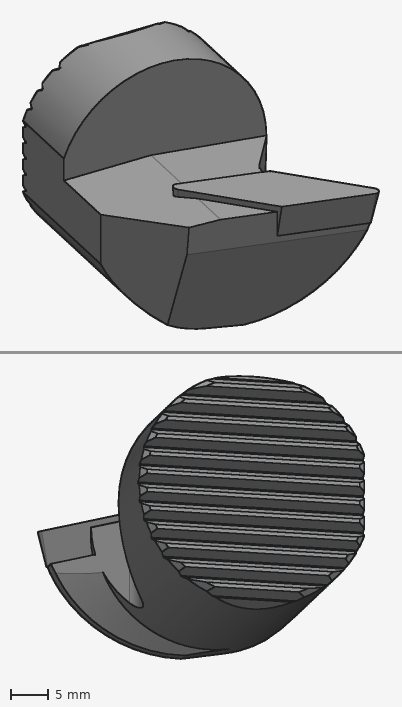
import cadquery as cq
import math

bar_radius = 16.0
flat_y = -15.0
disc_length = 12.0
rim_chamfer = 0.8

groove_span = 30.0
tooth_depth = 1.5
groove_floor = 0.2
groove_half_angle = 30
grooves_per_side = 5
tooth_pitch = groove_span / (2 * grooves_per_side + 2)

floor_z = 2.15
tilt_line_y = -1.65
tilt_angle = 7
corner_cut_x = 22.0

reach = 55.5
overshoot = 0.37

insert_inscribed_diameter = 9.55
insert_point_angle = 35
insert_thickness = 4.77
insert_nose_radius = 0.8
insert_relief = 7
insert_proud = 0.92
insert_x = 27.12
insert_y = 8.9
front_edge_angle = 3
back_edge_angle = front_edge_angle + insert_point_angle

notch_apex = (21.3, 9.3)
notch_radius = 3.1

blade_radius = 18.72
blade_center_y = 3.05
blade_center_z = 1.95
blade_top_angle = -5
blade_middle_angle = -45
blade_back_axis_z = 0.92
blade_back_x = 25.15
blade_back_angle = 41.5

end_corner_x = 30.7
end_corner_y = -6.2
end_bend_depth = 4.8
end_upper_relief = 3
end_lower_relief = 9.2


def tilt(body):
    """Lean a body down towards +Y about the line where the floor starts to slope."""
    start = (0, tilt_line_y, floor_z)
    end = (1, tilt_line_y, floor_z)
    return body.rotate(start, end, -tilt_angle)


def make_bar(length):
    bar = cq.Workplane("YZ").circle(bar_radius).extrude(length)
    beyond_flat = cq.Workplane("XY").box(3 * reach, reach, reach).translate((0, flat_y - reach / 2, 0))
    return bar.cut(beyond_flat).faces("<X").chamfer(rim_chamfer)


def make_teeth_cutter():
    slope = math.tan(math.radians(groove_half_angle))
    half_floor = groove_floor / 2
    half_mouth = half_floor + tooth_depth * slope
    section = cq.Workplane("XZ", origin=(0, reach / 2, 0))
    cutter = cq.Workplane("XY")
    for index in range(-grooves_per_side, grooves_per_side + 1):
        z = index * tooth_pitch
        groove = [
            (0, z - half_mouth),
            (tooth_depth, z - half_floor),
            (tooth_depth, z + half_floor),
            (0, z + half_mouth),
        ]
        cutter = cutter.add(section.polyline(groove).close().extrude(reach))
    last_z = (grooves_per_side + 1) * tooth_pitch
    rim_z = bar_radius + overshoot
    rim_x = tooth_depth + (rim_z - last_z - half_floor) / slope
    for side in (-1, 1):
        fall = [
            (0, side * (last_z - half_mouth)),
            (tooth_depth, side * (last_z - half_floor)),
            (tooth_depth, side * (last_z + half_floor)),
            (rim_x, side * rim_z),
            (0, side * rim_z),
        ]
        cutter = cutter.add(section.polyline(fall).close().extrude(reach))
    return cutter.combine()


def make_blade():
    """Crescent below the bar: a large arc, run out by a tangent onto the bar."""
    bottom_z = blade_center_z - blade_radius
    bottom_angle = math.atan2(blade_center_y, -bottom_z)
    bottom_distance = math.hypot(blade_center_y, bottom_z)
    tangent_angle = math.acos(bar_radius / bottom_distance) - bottom_angle
    tangent = (-bar_radius * math.sin(tangent_angle), -bar_radius * math.cos(tangent_angle))

    def arc_point(angle):
        turn = math.radians(angle)
        return (blade_center_y + blade_radius * math.cos(turn), blade_center_z + blade_radius * math.sin(turn))

    return (
        cq.Workplane("YZ", origin=(disc_length, 0, 0))
        .moveTo(*tangent)
        .lineTo(blade_center_y, bottom_z)
        .threePointArc(arc_point(blade_middle_angle), arc_point(blade_top_angle))
        .lineTo(0, 0)
        .close()
        .extrude(reach)
    )


def make_above_seat():
    """Space above the plane of the insert's underside."""
    seat_z = floor_z + insert_proud - insert_thickness
    block = cq.Workplane("XY").box(reach, reach, reach).translate((reach / 2, reach / 2, seat_z + reach / 2))
    return tilt(block)


def make_above_floor():
    flat = cq.Workplane("XY").box(reach, reach, reach)
    flat = flat.translate((disc_length + reach / 2, 0, floor_z + reach / 2))
    sloping = tilt(flat.translate((0, tilt_line_y + reach / 2, 0)))
    behind = cq.Workplane("XY").box(reach, 2 * reach, 2 * reach).translate((disc_length - reach / 2, 0, 0))
    return flat.union(sloping.cut(behind))


def make_notch():
    """V-shaped clearance between disc and insert, with a rounded apex."""
    apex_x, apex_y = notch_apex
    top_y = 2 * bar_radius
    wall_top_x = apex_x + (top_y - apex_y) * math.tan(math.radians(back_edge_angle))
    outline = [(disc_length, bar_radius), notch_apex, (wall_top_x, top_y), (disc_length, top_y)]
    notch = cq.Workplane("XY", origin=(0, 0, -reach / 2)).polyline(outline).close().extrude(reach)
    apex_edge = cq.selectors.NearestToPointSelector((apex_x, apex_y, 0))
    return notch.edges("|Z").edges(apex_edge).fillet(notch_radius)


def make_blade_back():
    """Conical space around an axis just above the bar's, leaving the blade's sloping back."""
    outer_radius = 2 * bar_radius
    outer_x = blade_back_x + (outer_radius - bar_radius) * math.tan(math.radians(blade_back_angle))
    outline = [
        (disc_length, bar_radius),
        (blade_back_x, bar_radius),
        (outer_x, outer_radius),
        (disc_length, outer_radius),
    ]
    plane = cq.Workplane("XY", origin=(0, 0, blade_back_axis_z))
    return plane.polyline(outline).close().revolve(360, (0, 0), (1, 0))


def make_corner_cut():
    """Upright 45 degree cut across the free corner of the flat side."""
    far = corner_cut_x + reach
    outline = [
        (corner_cut_x, flat_y),
        (far, flat_y + reach),
        (far, flat_y - overshoot),
        (corner_cut_x - overshoot, flat_y - overshoot),
    ]
    return cq.Workplane("XY", origin=(0, 0, -reach / 2)).polyline(outline).close().extrude(reach)


def make_end_cut():
    bend_z = floor_z - end_bend_depth
    upper = math.tan(math.radians(end_upper_relief))
    lower = math.tan(math.radians(end_lower_relief))
    bend_x = end_corner_x - end_bend_depth * upper
    outline = [
        (end_corner_x + reach * upper, floor_z + reach),
        (bend_x, bend_z),
        (bend_x - reach * lower, bend_z - reach),
        (bend_x + reach, bend_z - reach),
        (bend_x + reach, floor_z + reach),
    ]
    cut = cq.Workplane("XZ", origin=(0, reach, 0)).polyline(outline).close().extrude(2 * reach)
    corner = (end_corner_x, end_corner_y, 0)
    above_corner = (end_corner_x, end_corner_y, 1)
    return tilt(cut.rotate(corner, above_corner, -front_edge_angle))


def make_insert():
    side = insert_inscribed_diameter / math.sin(math.radians(insert_point_angle))
    half = math.radians(insert_point_angle / 2)
    long_half = side * math.cos(half)
    short_half = side * math.sin(half)
    corners = [(0, long_half), (short_half, 0), (0, -long_half), (-short_half, 0)]
    outline = cq.Sketch().polygon(corners + corners[:1]).vertices(">Y or <Y").fillet(insert_nose_radius)
    insert = cq.Workplane("XY").placeSketch(outline).extrude(-insert_thickness, taper=insert_relief)
    insert = insert.rotate((0, 0, 0), (0, 0, 1), -(front_edge_angle + insert_point_angle / 2))
    return tilt(insert.translate((insert_x, insert_y, floor_z + insert_proud)))


body = make_bar(reach)
blade = make_blade().cut(make_above_seat()).cut(make_blade_back())
body = body.union(blade).cut(make_above_floor())
body = body.cut(make_notch()).cut(make_corner_cut()).cut(make_end_cut())
body = body.cut(make_teeth_cutter())
result = body.union(make_insert())